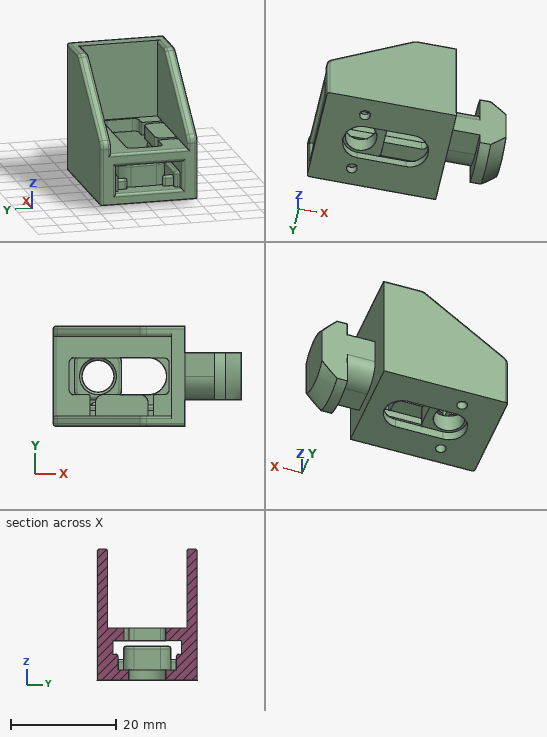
import cadquery as cq
import math

TOLERANCE = 0.01
MARGIN = 1.0

BODY_LENGTH = 25.0
BODY_WIDTH = 19.0
BODY_HEIGHT = 25.0
FRONT_HEIGHT = 12.0
SLOPE_END_X = 17.0
PROFILE_RADIUS = 2.0
EDGE_RADIUS = 0.5
SIDE_WALL = 2.0
BACK_WALL = 2.5
DECK_TOP = 10.0
BACK_WALL_X = BODY_LENGTH - BACK_WALL
TRAY_HALF_WIDTH = BODY_WIDTH / 2 - SIDE_WALL

BASE_TOP = 2.0
DECK_BOTTOM = 7.5
CHAMBER_WIDTH = 13.0

BLOCK_SIZE = 9.0
BLOCK_FRONT_X = 4.0
BLOCK_TOP = 6.5
BLOCK_CORNER_RADIUS = 2.0
SCREW_DIAMETER = 6.0
SCREW_HOLE_BEVEL = 0.5
SCREW_X = BLOCK_FRONT_X + BLOCK_SIZE / 2

RAIL_WIDTH = 1.0
RAIL_FRONT_X = 1.9
RAIL_TOP = 5.0
RAIL_INNER_Y = CHAMBER_WIDTH / 2 - RAIL_WIDTH
TAB_LENGTH = 2.0
TAB_FRONT_X = 3.0
TAB_THICKNESS = BLOCK_FRONT_X - TAB_FRONT_X
TAB_TOP = 4.0
TAB_TOP_RADIUS = 0.48
TAB_INNER_Y = RAIL_INNER_Y - TAB_LENGTH

SLOT_WIDTH = 7.0
DECK_SLOT_START_X = 3.0
DECK_SLOT_END_X = 22.0
DECK_SLOT_RADIUS = 1.0
BASE_SLOT_END_X = BACK_WALL_X - BLOCK_SIZE / 2
PIN_DIAMETER = 2.0
PIN_X = 8.0
PIN_Y = CHAMBER_WIDTH / 2 - RAIL_WIDTH / 2

TONGUE_START_X = 8.0
TONGUE_END_X = 18.0
TONGUE_GAP = 1.0
TONGUE_RADIUS = 1.5
GAP_MOUTH_RADIUS = 0.3

NECK_Z = 8.0
STUD_WIDTH = 9.0
NECK_HEIGHT = 10.0
NECK_LENGTH = 5.6
NECK_RADIUS = 4.5
HEAD_RADIUS = 9.08
HEAD_DROP = 1.01
HEAD_Z = HEAD_RADIUS - HEAD_DROP
HEAD_BEVEL = 3.0
HEAD_THICKNESS = 5.1


def box(x_range, y_range, z_range):
    """Axis-aligned box given by its (low, high) limits on each axis."""
    lows, highs = zip(x_range, y_range, z_range)
    sizes = [high - low for low, high in zip(lows, highs)]
    return cq.Workplane("XY").box(*sizes, centered=False).translate(lows)


def rim_edges(body):
    """Front, sloped and top edges of both side walls, and the front edge of the deck."""
    slope_rise = BODY_HEIGHT - FRONT_HEIGHT
    wall_faces = (BODY_WIDTH / 2, TRAY_HALF_WIDTH)
    slope_length = math.hypot(SLOPE_END_X, slope_rise)
    picked = []
    for edge in body.edges().vals():
        bounds = edge.BoundingBox()
        center = edge.Center()
        on_wall_face = any(abs(abs(center.y) - y) < TOLERANCE for y in wall_faces)
        in_wall_plane = on_wall_face and bounds.ylen < TOLERANCE
        outward = (
            (center.z - FRONT_HEIGHT) * SLOPE_END_X - center.x * slope_rise
        ) / slope_length
        on_slope = outward > -PROFILE_RADIUS and bounds.xlen > TOLERANCE and bounds.zlen > TOLERANCE
        on_front = bounds.xmax < TOLERANCE
        on_top = bounds.zmin > BODY_HEIGHT - TOLERANCE
        deck_front = on_front and bounds.zlen < TOLERANCE and abs(center.z - DECK_TOP) < TOLERANCE
        if deck_front or (in_wall_plane and (on_front or on_top or on_slope)):
            picked.append(edge)
    return body.newObject(picked)


def make_body():
    profile = (
        cq.Workplane("XZ")
        .polyline([
            (0, 0),
            (BODY_LENGTH, 0),
            (BODY_LENGTH, BODY_HEIGHT),
            (SLOPE_END_X, BODY_HEIGHT),
            (0, FRONT_HEIGHT),
        ])
        .close()
        .extrude(BODY_WIDTH / 2, both=True)
    )
    slope_ends = cq.selectors.BoxSelector(
        (-MARGIN, -BODY_WIDTH, FRONT_HEIGHT - MARGIN),
        (SLOPE_END_X + MARGIN, BODY_WIDTH, BODY_HEIGHT + MARGIN),
    )
    body = profile.edges("|Y").edges(slope_ends).fillet(PROFILE_RADIUS)
    tray = box(
        (-MARGIN, BACK_WALL_X),
        (-TRAY_HALF_WIDTH, TRAY_HALF_WIDTH),
        (DECK_TOP, BODY_HEIGHT + MARGIN),
    )
    body = body.cut(tray)
    return rim_edges(body).fillet(EDGE_RADIUS)


def cut_chamber(body):
    half_width = CHAMBER_WIDTH / 2
    chamber = box((0, BACK_WALL_X), (-half_width, half_width), (BASE_TOP, DECK_BOTTOM))
    body = body.cut(chamber)
    mouth = cq.selectors.BoxSelector(
        (-TOLERANCE, -half_width - TOLERANCE, BASE_TOP - TOLERANCE),
        (TOLERANCE, half_width + TOLERANCE, DECK_BOTTOM + TOLERANCE),
    )
    return body.edges(mouth).fillet(EDGE_RADIUS)


def make_deck_opening():
    """Slot over the block, joined to the gaps around the tongue."""
    half_slot = SLOT_WIDTH / 2
    depth = (DECK_BOTTOM, DECK_TOP)
    slot = box((DECK_SLOT_START_X, DECK_SLOT_END_X), (-half_slot, half_slot), depth)
    slot = slot.edges("|Z").fillet(DECK_SLOT_RADIUS)
    gap_outer_start = TONGUE_START_X - TONGUE_GAP
    gap_outer_end = TONGUE_END_X + TONGUE_GAP
    gaps = box((gap_outer_start, gap_outer_end), (-TRAY_HALF_WIDTH, 0), depth)
    opening = slot.union(gaps)
    mouths = cq.selectors.BoxSelector(
        (gap_outer_start - TOLERANCE, -half_slot - TOLERANCE, DECK_BOTTOM - MARGIN),
        (gap_outer_end + TOLERANCE, -half_slot + TOLERANCE, DECK_TOP + MARGIN),
    )
    opening = opening.edges("|Z").edges(mouths).fillet(GAP_MOUTH_RADIUS)
    tongue = box((TONGUE_START_X, TONGUE_END_X), (-TRAY_HALF_WIDTH, -half_slot), depth)
    tongue = tongue.edges("|Z and >Y").fillet(TONGUE_RADIUS)
    return opening.cut(tongue)


def make_base_openings():
    """Screw slot and the two pin holes through the base."""
    slot_length = BASE_SLOT_END_X - SCREW_X + SLOT_WIDTH
    slot_center_x = (SCREW_X + BASE_SLOT_END_X) / 2
    slot = cq.Workplane("XY").center(slot_center_x, 0).slot2D(slot_length, SLOT_WIDTH).extrude(BASE_TOP)
    pins = (
        cq.Workplane("XY")
        .pushPoints([(PIN_X, -PIN_Y), (PIN_X, PIN_Y)])
        .circle(PIN_DIAMETER / 2)
        .extrude(BASE_TOP)
    )
    return slot.union(pins)


def make_block():
    half_size = BLOCK_SIZE / 2
    block = box(
        (BLOCK_FRONT_X, BLOCK_FRONT_X + BLOCK_SIZE), (-half_size, half_size), (BASE_TOP, BLOCK_TOP)
    )
    block = block.edges("|Z").fillet(BLOCK_CORNER_RADIUS)
    hole = (
        cq.Workplane("XY", origin=(SCREW_X, 0, BASE_TOP))
        .circle(SCREW_DIAMETER / 2)
        .extrude(BLOCK_TOP - BASE_TOP)
    )
    block = block.faces(">Z").edges().fillet(EDGE_RADIUS)
    hole_rim = cq.selectors.RadiusNthSelector(-1)
    return block.cut(hole).faces(">Z").edges(hole_rim).chamfer(SCREW_HOLE_BEVEL)


def make_guide():
    """Rail and stop tab of the +Y side."""
    rail = box(
        (RAIL_FRONT_X, BACK_WALL_X), (RAIL_INNER_Y, CHAMBER_WIDTH / 2), (BASE_TOP, RAIL_TOP)
    )
    exposed_edges = "(|Z and <X and <Y) or (|X and >Z and <Y) or (|Y and >Z and <X)"
    rail = rail.edges(exposed_edges).fillet(EDGE_RADIUS)
    end_radius = TAB_THICKNESS / 2
    tab = (
        cq.Workplane("XY", origin=(TAB_FRONT_X, CHAMBER_WIDTH / 2, BASE_TOP))
        .lineTo(0, TAB_INNER_Y + end_radius - CHAMBER_WIDTH / 2)
        .tangentArcPoint((TAB_THICKNESS, 0))
        .lineTo(TAB_THICKNESS, 0)
        .close()
        .extrude(TAB_TOP - BASE_TOP)
    )
    tab = tab.faces(">Z").edges("not >Y").fillet(TAB_TOP_RADIUS)
    return rail.union(tab)


def make_stud():
    half_width = STUD_WIDTH / 2
    half_height = NECK_HEIGHT / 2
    head_start_x = BODY_LENGTH + NECK_LENGTH
    neck = box(
        (BODY_LENGTH, head_start_x),
        (-half_width, half_width),
        (NECK_Z - half_height, NECK_Z + half_height),
    )
    neck = neck.edges("|X and <Y and >Z").fillet(NECK_RADIUS)
    neck = neck.edges("|X and >Y and <Z").fillet(NECK_RADIUS)
    head = (
        cq.Workplane("YZ", origin=(head_start_x, 0, HEAD_Z))
        .circle(HEAD_RADIUS)
        .extrude(HEAD_THICKNESS)
        .faces(">X")
        .chamfer(HEAD_BEVEL)
    )
    flats = box(
        (head_start_x, head_start_x + HEAD_THICKNESS),
        (-half_width, half_width),
        (HEAD_Z - HEAD_RADIUS, HEAD_Z + HEAD_RADIUS),
    )
    return neck.union(head.intersect(flats))


result = cut_chamber(make_body())
result = result.cut(make_deck_opening()).cut(make_base_openings())
guide = make_guide()
result = result.union(guide).union(guide.mirror("XZ"))
result = result.union(make_block()).union(make_stud())